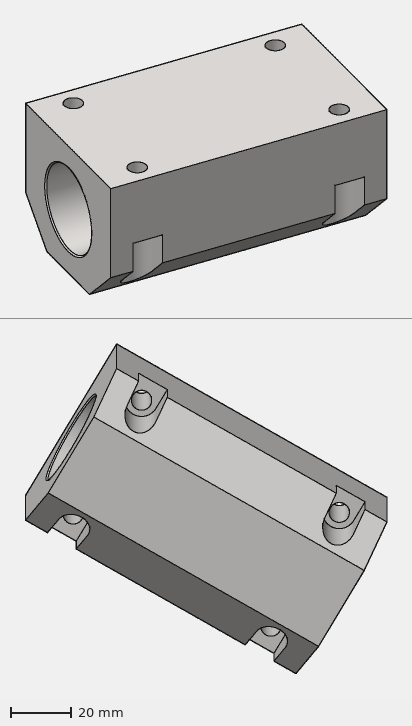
import cadquery as cq

width = 60.0
length = 104.0
height = 50.0
corner_cut = 15.0

bore_diameter = 32.0
bore_height = height / 2
bore_chamfer = 0.5

hole_diameter = 6.8
hole_spacing_x = 45.0
hole_spacing_y = 76.0
slot_width = 11.0
slot_top = 26.0


def make_block():
    """Rectangular block with its two long lower edges cut at 45 degrees."""
    block = cq.Workplane("XY").box(width, length, height, centered=(True, True, False))
    return block.faces("<Z").edges("|Y").chamfer(corner_cut)


def make_bore():
    """Through bore cutter, flared at both mouths."""
    mouth_radius = bore_diameter / 2 + bore_chamfer
    bore_radius = bore_diameter / 2
    half_length = length / 2
    profile = (
        cq.Workplane("XY")
        .moveTo(0, -half_length)
        .lineTo(mouth_radius, -half_length)
        .lineTo(bore_radius, -half_length + bore_chamfer)
        .lineTo(bore_radius, half_length - bore_chamfer)
        .lineTo(mouth_radius, half_length)
        .lineTo(0, half_length)
        .close()
    )
    return profile.revolve(360, (0, 0, 0), (0, 1, 0)).translate((0, 0, bore_height))


def make_mounting_cut(side, y):
    """Vertical screw hole with a round-ended slot running out to one side."""
    x = side * hole_spacing_x / 2
    hole = cq.Workplane("XY").center(x, y).circle(hole_diameter / 2).extrude(height)
    round_end = cq.Workplane("XY").center(x, y).circle(slot_width / 2).extrude(slot_top)
    run_out = width / 2 - abs(x)
    opening = (
        cq.Workplane("XY")
        .center(x + side * run_out / 2, y)
        .rect(run_out, slot_width)
        .extrude(slot_top)
    )
    return hole.union(round_end).union(opening)


result = make_block().cut(make_bore())
for side in (-1, 1):
    for y in (-hole_spacing_y / 2, hole_spacing_y / 2):
        result = result.cut(make_mounting_cut(side, y))